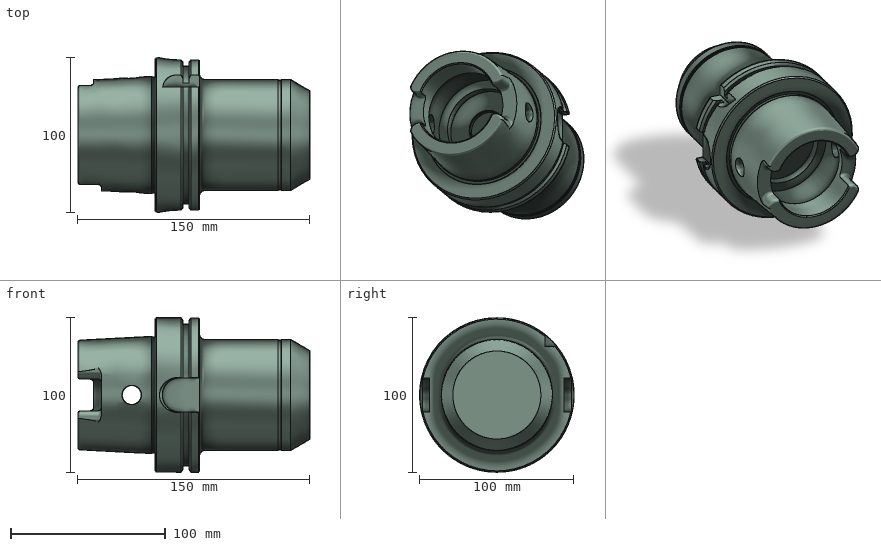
import cadquery as cq
import math

total_length = 150.0
taper_end = 47.5
taper_run_out = 48.5
flange_front = 50.0
groove_start = 68.0
groove_end = 71.8
flange_back = 78.8
ring_groove_start = 129.6
ring_groove_end = 131.8
nose_start = 137.5

flange_radius = 150 / 3
taper_end_radius = 38.0
taper_front_radius = 35.5
run_out_radius = 37.5
groove_floor_radius = 45.9
neck_radius = 36.0
ring_groove_radius = 35.5
ring_groove_slope = 0.5
nose_end_radius = 29.0

taper_front_fillet = 1.8
flange_chamfer = 0.9
groove_chamfer_length = 1.4
groove_chamfer_depth = 1.8
neck_fillet = 3.3
nose_chamfer = 0.5

relief_radius = 39.6
relief_depth = 0.9

bore_radius = 26.5
bore_chamfer = 0.8
bore_lip_length = 20.0
clamp_radius = 30.8
clamp_cone_angle = 60.0
clamp_end = 49.5
center_hole_radius = 12.2
center_hole_depth = 3.0
center_hole_chamfer = 0.5
seat_radius = 24.9
seat_depth = 6.0

key_half_width = 10.2
key_tangent_radius = 36.2
key_corner_start = 27.0
key_floor_fillet = 2.1
key_depth_minus_y = 15.2
key_depth_plus_y = 10.0

cross_hole_x = 34.8
cross_hole_radius = 6.2

pocket_half_width = 11.0
pocket_start = 54.6
pocket_floor = 43.5
pocket_chamfer_floor = 48.2

notch_half_width = 30 / 3
notch_start = 54.6
notch_wall_z = 31.4
notch_floor_y = 31.2

clearance = 7.5
past_flange = flange_radius + clearance


def revolve_profile(outline):
    """Revolve an outline drawn in (X, radius) about the tool axis."""
    return outline.close().revolve(360, (0, 0, 0), (1, 0, 0))


def turned_outside():
    groove_rim_radius = flange_radius - groove_chamfer_depth
    outline = (
        cq.Workplane("XZ")
        .lineTo(0, taper_front_radius - taper_front_fillet)
        .radiusArc((taper_front_fillet, taper_front_radius), taper_front_fillet)
        .lineTo(taper_end, taper_end_radius)
        .lineTo(taper_run_out, run_out_radius)
        .lineTo(flange_front + relief_depth, run_out_radius)
        .lineTo(flange_front + relief_depth, relief_radius)
        .lineTo(flange_front, relief_radius)
        .lineTo(flange_front, flange_radius - flange_chamfer)
        .lineTo(flange_front + flange_chamfer, flange_radius)
        .lineTo(groove_start - groove_chamfer_length, flange_radius)
        .lineTo(groove_start, groove_rim_radius)
        .lineTo(groove_start, groove_floor_radius)
        .lineTo(groove_end, groove_floor_radius)
        .lineTo(groove_end, groove_rim_radius)
        .lineTo(groove_end + groove_chamfer_length, flange_radius)
        .lineTo(flange_back - flange_chamfer, flange_radius)
        .lineTo(flange_back, flange_radius - flange_chamfer)
        .lineTo(flange_back, neck_radius + neck_fillet)
        .radiusArc((flange_back + neck_fillet, neck_radius), -neck_fillet)
        .lineTo(ring_groove_start, neck_radius)
        .lineTo(ring_groove_start, ring_groove_radius)
        .lineTo(ring_groove_end - ring_groove_slope, ring_groove_radius)
        .lineTo(ring_groove_end, neck_radius)
        .lineTo(nose_start, neck_radius)
        .lineTo(total_length - nose_chamfer, nose_end_radius)
        .lineTo(total_length, nose_end_radius - nose_chamfer)
        .lineTo(total_length, 0)
    )
    return revolve_profile(outline)


def cavity():
    clamp_cone_length = (clamp_radius - bore_radius) / math.tan(math.radians(clamp_cone_angle))
    seat_end = clamp_end + seat_depth
    hole_end = seat_end + center_hole_depth
    outline = (
        cq.Workplane("XZ")
        .lineTo(0, bore_radius + bore_chamfer)
        .lineTo(bore_chamfer, bore_radius)
        .lineTo(bore_lip_length, bore_radius)
        .lineTo(bore_lip_length + clamp_cone_length, clamp_radius)
        .lineTo(clamp_end, clamp_radius)
        .lineTo(clamp_end, seat_radius)
        .lineTo(seat_end, seat_radius)
        .lineTo(seat_end, center_hole_radius)
        .lineTo(seat_end + center_hole_chamfer, center_hole_radius - center_hole_chamfer)
        .lineTo(hole_end, center_hole_radius - center_hole_chamfer)
        .lineTo(hole_end, 0)
    )
    return revolve_profile(outline)


def key_slot(side, depth):
    """Key slot on the given side of Y, flared where it breaks through the taper."""
    start_y = key_corner_start
    corner_distance = math.hypot(start_y, key_half_width)
    arc_radius = (key_tangent_radius**2 - corner_distance**2) / (2 * (key_tangent_radius + key_half_width))
    arc_direction = math.atan2(key_half_width + arc_radius, start_y)
    arc_end_y = key_tangent_radius * math.cos(arc_direction)
    arc_end_z = key_tangent_radius * math.sin(arc_direction)
    outer_y = arc_end_y - past_flange * math.sin(arc_direction)
    outer_z = arc_end_z + past_flange * math.cos(arc_direction)
    turn = side * arc_radius
    return (
        cq.Workplane("YZ", origin=(-clearance, 0, 0))
        .moveTo(0, -key_half_width)
        .lineTo(side * start_y, -key_half_width)
        .radiusArc((side * arc_end_y, -arc_end_z), turn)
        .lineTo(side * outer_y, -outer_z)
        .lineTo(side * past_flange, -outer_z)
        .lineTo(side * past_flange, outer_z)
        .lineTo(side * outer_y, outer_z)
        .lineTo(side * arc_end_y, arc_end_z)
        .radiusArc((side * start_y, key_half_width), turn)
        .lineTo(0, key_half_width)
        .close()
        .extrude(clearance + depth)
        .faces(">X")
        .edges()
        .fillet(key_floor_fillet)
    )


def keyed_blank():
    """Oversize bar with both key slots, whose front edges are rounded like the taper's front rim."""
    return (
        cq.Workplane("YZ")
        .circle(past_flange)
        .extrude(total_length)
        .cut(key_slot(-1, key_depth_minus_y))
        .cut(key_slot(1, key_depth_plus_y))
        .faces("<X")
        .edges()
        .fillet(taper_front_fillet)
    )


def round_ended_cut(start_x, half_width, center_z, floor_y, taper=0):
    """Cut from floor_y out past the flange toward +Y, round at start_x and open at the back."""
    center_x = start_x + half_width
    open_x = flange_back + clearance
    return (
        cq.Workplane("XZ", origin=(0, floor_y, center_z))
        .moveTo(open_x, -half_width)
        .lineTo(center_x, -half_width)
        .threePointArc((start_x, 0), (center_x, half_width))
        .lineTo(open_x, half_width)
        .close()
        .extrude(floor_y - past_flange, taper=taper)
    )


def flange_pocket():
    straight = round_ended_cut(pocket_start, pocket_half_width, 0, pocket_floor)
    chamfer = round_ended_cut(pocket_start, pocket_half_width, 0, pocket_chamfer_floor, taper=-45)
    return straight.union(chamfer)


def orientation_notch():
    center_z = notch_wall_z + notch_half_width
    return round_ended_cut(notch_start, notch_half_width, center_z, notch_floor_y)


def cross_hole():
    return (
        cq.Workplane("XZ", origin=(cross_hole_x, 0, 0))
        .circle(cross_hole_radius)
        .extrude(past_flange, both=True)
    )


pocket_plus_y = flange_pocket()
pocket_minus_y = pocket_plus_y.mirror("XZ")

result = (
    turned_outside()
    .intersect(keyed_blank())
    .cut(cavity())
    .cut(cross_hole())
    .cut(pocket_plus_y)
    .cut(pocket_minus_y)
    .cut(orientation_notch())
)